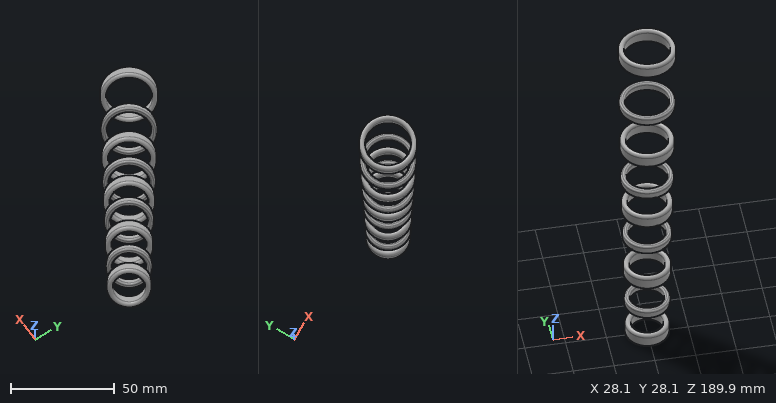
import cadquery as cq


WIDE_HEIGHT = 8.0
THIN_HEIGHT = 5.0
THIN_FILLET = 1.0
STACK_HEIGHT = 189.9

WIDE_RINGS = [
    (21.6, 15.5, WIDE_HEIGHT / 2),
    (23.4, 17.3, 43.1),
    (25.0, 19.0, 84.7),
    (26.5, 20.5, 125.7),
    (28.1, 22.2, STACK_HEIGHT - WIDE_HEIGHT / 2),
]
THIN_RINGS = [
    (22.5, 16.5, 22.0),
    (24.1, 18.2, 65.7),
    (25.8, 19.7, 103.0),
    (27.3, 21.5, 152.7),
]


def wide_ring(outer_diameter, inner_diameter, middle_z):
    """Ring whose cross-section has straight sides and full half-round ends."""
    outer = outer_diameter / 2
    inner = inner_diameter / 2
    end_radius = (outer - inner) / 2
    crest = (outer + inner) / 2
    half_height = WIDE_HEIGHT / 2
    half_side = half_height - end_radius
    section = (
        cq.Workplane("XZ")
        .moveTo(inner, -half_side)
        .threePointArc((crest, -half_height), (outer, -half_side))
        .lineTo(outer, half_side)
        .threePointArc((crest, half_height), (inner, half_side))
        .close()
    )
    return section.revolve(360, (0, 0, 0), (0, 1, 0)).translate((0, 0, middle_z))


def thin_ring(outer_diameter, inner_diameter, middle_z):
    """Flat-faced ring with all four circular edges filleted."""
    return (
        cq.Workplane("XY", origin=(0, 0, middle_z - THIN_HEIGHT / 2))
        .circle(outer_diameter / 2)
        .circle(inner_diameter / 2)
        .extrude(THIN_HEIGHT)
        .edges("%CIRCLE")
        .fillet(THIN_FILLET)
    )


wide_rings = [wide_ring(*sizes).val() for sizes in WIDE_RINGS]
thin_rings = [thin_ring(*sizes).val() for sizes in THIN_RINGS]

result = cq.Compound.makeCompound([*wide_rings, *thin_rings])